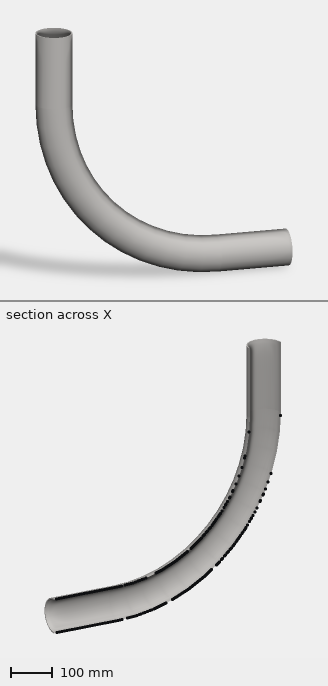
import cadquery as cq

overall_size = 628.5
outer_diameter = 88.5
inner_diameter = 83.0
straight_length = 177.0

bend_radius = overall_size - straight_length - outer_diameter / 2


def elbow(diameter):
    """Solid round bar: a vertical leg, a 90 degree bend and a leg along +Y."""
    radius = diameter / 2

    vertical_leg = cq.Workplane("XY").circle(radius).extrude(straight_length)

    bend = (
        cq.Workplane("XY")
        .circle(radius)
        .revolve(90, (0, bend_radius, 0), (1, bend_radius, 0))
    )

    horizontal_leg = (
        cq.Workplane("XZ", origin=(0, bend_radius, -bend_radius))
        .circle(radius)
        .extrude(-straight_length)
    )
    return vertical_leg.union(bend).union(horizontal_leg)


result = elbow(outer_diameter).cut(elbow(inner_diameter))